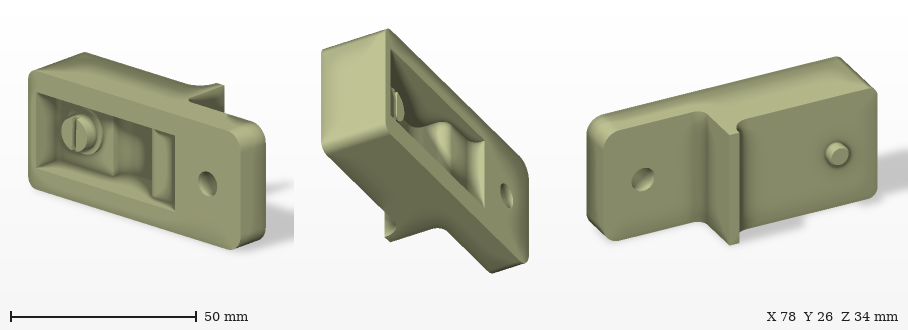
import cadquery as cq
import math


length = 78.0
height = 34.0
lip_back_y = 26.0
body_depth = 20.0
flange_thickness = 10.0
lip_left_x = 45.0
lip_right_x = 48.0
lip_fillet = 5.5
inner_fillet = 3.0
left_corner_radius = 3.0
right_corner_radius = 5.0

pocket_height = 21.85
pocket_left_x = 2.9
pocket_right_x = 54.0
seat_depth = 9.0
seat_right_x = 22.9
deep_floor_depth = 14.0
deep_floor_end_x = 37.05
shallow_floor_depth = 4.0
seat_fillet = 1.2

mount_hole_x = 65.9
mount_hole_diameter = 7.0

screw_x = 12.95
shank_diameter = 6.0
shank_protrusion = 3.0
shank_chamfer = 0.5
washer_diameter = 13.0
washer_thickness = 1.0
head_height = 3.75
head_base_diameter = 9.9
head_front_diameter = 9.4
slot_width = 1.5
slot_depth = 1.5
slot_tilt = 2.0

washer_front_y = seat_depth - washer_thickness
head_front_y = washer_front_y - head_height
shank_end_y = body_depth + shank_protrusion

DIAGONAL = math.sqrt(0.5)


def cylinder_along_y(diameter, x, start_y, end_y):
    """Round bar at height Z = 0 running from start_y to end_y."""
    plane = cq.Plane(origin=(x, start_y, 0), xDir=(1, 0, 0), normal=(0, 1, 0))
    return cq.Workplane(plane).circle(diameter / 2).extrude(end_y - start_y)


def extrude_about_middle(profile, total_height):
    """Extrude an XY profile equally up and down from Z = 0."""
    return profile.extrude(total_height / 2, both=True)


def make_housing_block():
    """Body with a thin flange on the right and a lip standing up at the back."""
    profile = (
        cq.Workplane("XY")
        .lineTo(length, 0)
        .lineTo(length, flange_thickness)
        .lineTo(lip_right_x + inner_fillet, flange_thickness)
        .radiusArc((lip_right_x, flange_thickness + inner_fillet), inner_fillet)
        .lineTo(lip_right_x, lip_back_y)
        .lineTo(lip_left_x, lip_back_y)
        .lineTo(lip_left_x, body_depth + lip_fillet)
        .threePointArc(
            (lip_left_x - lip_fillet * (1 - DIAGONAL), body_depth + lip_fillet * (1 - DIAGONAL)),
            (lip_left_x - lip_fillet, body_depth),
        )
        .lineTo(0, body_depth)
        .close()
    )
    block = extrude_about_middle(profile, height)
    block = block.edges("|Y and <X").fillet(left_corner_radius)
    return block.edges("|Y and >X").fillet(right_corner_radius)


def make_pocket():
    """Pocket volume: screw seat, deep floor and shallow floor with rounded steps."""
    step_x = deep_floor_end_x + inner_fillet
    corner_offset = inner_fillet * DIAGONAL
    deep_center_y = deep_floor_depth - inner_fillet
    step_center_y = shallow_floor_depth + inner_fillet
    step_end_x = step_x + inner_fillet
    end_center_x = pocket_right_x - inner_fillet
    end_center_y = shallow_floor_depth - inner_fillet
    seat_center_x = pocket_left_x + seat_fillet
    seat_center_y = seat_depth - seat_fillet
    recess_center_x = seat_right_x + inner_fillet
    profile = (
        cq.Workplane("XY")
        .moveTo(pocket_left_x, 0)
        .lineTo(pocket_left_x, seat_center_y)
        .threePointArc(
            (seat_center_x - seat_fillet * DIAGONAL, seat_center_y + seat_fillet * DIAGONAL),
            (seat_center_x, seat_depth),
        )
        .lineTo(seat_right_x, seat_depth)
        .lineTo(seat_right_x, deep_center_y)
        .threePointArc(
            (recess_center_x - corner_offset, deep_center_y + corner_offset),
            (recess_center_x, deep_floor_depth),
        )
        .lineTo(deep_floor_end_x, deep_floor_depth)
        .threePointArc(
            (deep_floor_end_x + corner_offset, deep_center_y + corner_offset),
            (step_x, deep_center_y),
        )
        .lineTo(step_x, step_center_y)
        .threePointArc(
            (step_end_x - corner_offset, step_center_y - corner_offset),
            (step_end_x, shallow_floor_depth),
        )
        .lineTo(end_center_x, shallow_floor_depth)
        .threePointArc(
            (end_center_x + corner_offset, end_center_y + corner_offset),
            (pocket_right_x, end_center_y),
        )
        .lineTo(pocket_right_x, 0)
        .close()
    )
    return extrude_about_middle(profile, pocket_height)


def make_housing():
    """Housing with its pocket, mounting hole and screw hole."""
    mount_hole = cylinder_along_y(mount_hole_diameter, mount_hole_x, 0, flange_thickness)
    screw_hole = cylinder_along_y(shank_diameter, screw_x, seat_depth, body_depth)
    return make_housing_block().cut(make_pocket()).cut(mount_hole).cut(screw_hole)


def make_washer():
    """Flat washer between the screw head and the pocket seat."""
    disc = cylinder_along_y(washer_diameter, screw_x, washer_front_y, seat_depth)
    bore = cylinder_along_y(shank_diameter, screw_x, washer_front_y, seat_depth)
    return disc.cut(bore)


def make_screw():
    """Screw with a slightly tapered slotted head and a chamfered shank end."""
    head = cq.Workplane(
        cq.Solid.makeCone(
            head_front_diameter / 2,
            head_base_diameter / 2,
            head_height,
            pnt=cq.Vector(screw_x, head_front_y, 0),
            dir=cq.Vector(0, 1, 0),
        )
    )
    slot = (
        cq.Workplane("XY")
        .box(slot_width, slot_depth, 2 * head_base_diameter)
        .rotate((0, 0, 0), (0, 1, 0), slot_tilt)
        .translate((screw_x, head_front_y + slot_depth / 2, 0))
    )
    shank = cylinder_along_y(shank_diameter, screw_x, washer_front_y, shank_end_y)
    shank = shank.faces(">Y").chamfer(shank_chamfer)
    return head.cut(slot).union(shank)


housing = make_housing()
washer = make_washer()
screw = make_screw()

result = cq.Compound.makeCompound([housing.val(), washer.val(), screw.val()])